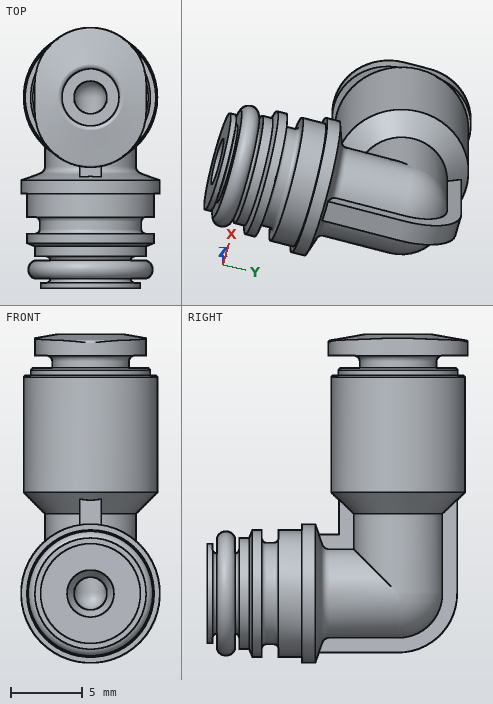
import cadquery as cq
import math


overall_length = 18.3
overall_height = 23.07
flange_diameter = 9.75

elbow_radius = 3.2
web_radius = 4.15
web_width = 1.5

body_radius = 4.7
body_shoulder_z = 7.1
body_top_z = 15.3
body_edge_chamfer = 0.12
collar_radius = 4.2
collar_top_z = 15.82
collar_chamfer = 0.15

neck_radius = 2.7
neck_fillet = 0.4
button_width = 7.8
button_length = 9.8
button_bottom_z = 16.68
button_top_z = overall_height - flange_diameter / 2
button_cone_angle = math.radians(10)
button_edge_fillet = 0.2

tube_radius = 2.0
tube_mouth_fillet = 0.3
tube_socket_floor_z = body_shoulder_z
bore_radius = 1.15
plug_bore_radius = 1.65
plug_bore_taper_angle = math.radians(30)

plug_tip = overall_length - button_length / 2
flange_radius = flange_diameter / 2
flange_cone_start = 5.2
flange_cone_angle = math.radians(70)
flange_root_fillet = 0.5
flange_end = 6.75
plug_bore_floor = flange_end
land_radius = 8.93 / 2
clip_groove_start = 8.4
clip_groove_end = 9.55
clip_groove_radius = 7.15 / 2
clip_land_end = 10.22
front_land_start = 10.45
front_land_radius = 7.8 / 2
seal_groove_start = 11.15
seal_groove_end = 13.0
seal_groove_radius = 5.65 / 2
groove_fillet = 0.3
tip_radius = 7.0 / 2

ring_outer_radius = 8.74 / 2
ring_flank_radius = 3.9
ring_half_width = 0.64
ring_center = (seal_groove_start + seal_groove_end) / 2


def revolve_tube_side(profile):
    """Revolve an (radius, z) profile drawn on XZ about the Z axis."""
    return profile.close().revolve(360, (0, 0), (0, 1))


def revolve_plug_side(profile):
    """Revolve a (distance towards -Y, radius) profile about the plug axis."""
    return profile.close().revolve(360, (0, 0), (1, 0))


def plug_plane():
    """Sketch plane with local x along -Y and local y along +Z."""
    return cq.Workplane(cq.Plane(origin=(0, 0, 0), xDir=(0, -1, 0), normal=(-1, 0, 0)))


def make_elbow():
    upright = cq.Workplane("XY").circle(elbow_radius).extrude(body_shoulder_z)
    level = cq.Workplane("XZ").circle(elbow_radius).extrude(flange_end)
    corner = cq.Workplane("XY").sphere(elbow_radius)
    return upright.union(level).union(corner)


def make_web():
    diagonal = web_radius * math.sqrt(0.5)
    return (
        plug_plane()
        .moveTo(-web_radius, body_shoulder_z)
        .lineTo(-web_radius, 0)
        .threePointArc((-diagonal, -diagonal), (0, -web_radius))
        .lineTo(flange_end, -web_radius)
        .lineTo(flange_end, web_radius)
        .lineTo(web_radius, web_radius)
        .lineTo(web_radius, body_shoulder_z)
        .close()
        .extrude(web_width / 2, both=True)
    )


def make_body():
    cone_bottom_z = body_shoulder_z - (body_radius - elbow_radius)
    return revolve_tube_side(
        cq.Workplane("XZ")
        .moveTo(0, cone_bottom_z)
        .lineTo(elbow_radius, cone_bottom_z)
        .lineTo(body_radius, body_shoulder_z)
        .lineTo(body_radius, body_top_z - body_edge_chamfer)
        .lineTo(body_radius - body_edge_chamfer, body_top_z)
        .lineTo(collar_radius, body_top_z)
        .lineTo(collar_radius, collar_top_z - collar_chamfer)
        .lineTo(collar_radius - collar_chamfer, collar_top_z)
        .lineTo(0, collar_top_z)
    )


def make_button():
    head_radius = button_length / 2
    crown_radius = tube_radius + tube_mouth_fillet
    rim_radius = head_radius - button_edge_fillet
    rim_z = button_top_z - (rim_radius - crown_radius) * math.tan(button_cone_angle)
    edge_diagonal = button_edge_fillet * math.sqrt(0.5)
    turned_head = revolve_tube_side(
        cq.Workplane("XZ")
        .moveTo(0, button_bottom_z)
        .lineTo(head_radius, button_bottom_z)
        .lineTo(head_radius, rim_z - button_edge_fillet)
        .threePointArc(
            (rim_radius + edge_diagonal, rim_z - button_edge_fillet + edge_diagonal),
            (rim_radius, rim_z),
        )
        .lineTo(crown_radius, button_top_z)
        .lineTo(0, button_top_z)
    )
    oblong = (
        cq.Workplane("XY")
        .workplane(offset=button_bottom_z)
        .slot2D(button_length, button_width, 90)
        .extrude(button_top_z - button_bottom_z)
    )
    neck = revolve_tube_side(
        cq.Workplane("XZ")
        .moveTo(0, body_top_z)
        .lineTo(neck_radius, body_top_z)
        .lineTo(neck_radius, button_bottom_z - neck_fillet)
        .radiusArc((neck_radius + neck_fillet, button_bottom_z), neck_fillet)
        .lineTo(0, button_bottom_z)
    )
    return turned_head.intersect(oblong).union(neck)


def make_plug():
    tangent_length = flange_root_fillet * math.tan(flange_cone_angle / 2)
    root_start = flange_cone_start - tangent_length
    root_end = flange_cone_start + tangent_length * math.cos(flange_cone_angle)
    root_end_radius = elbow_radius + tangent_length * math.sin(flange_cone_angle)
    flange_start = flange_cone_start + (flange_radius - elbow_radius) / math.tan(flange_cone_angle)
    seal_wall_radius = seal_groove_radius + groove_fillet
    clip_wall_radius = clip_groove_radius + groove_fillet
    return revolve_plug_side(
        plug_plane()
        .moveTo(0, 0)
        .lineTo(0, elbow_radius)
        .lineTo(root_start, elbow_radius)
        .radiusArc((root_end, root_end_radius), -flange_root_fillet)
        .lineTo(flange_start, flange_radius)
        .lineTo(flange_end, flange_radius)
        .lineTo(flange_end, land_radius)
        .lineTo(clip_groove_start, land_radius)
        .lineTo(clip_groove_start, clip_wall_radius)
        .radiusArc((clip_groove_start + groove_fillet, clip_groove_radius), -groove_fillet)
        .lineTo(clip_groove_end - groove_fillet, clip_groove_radius)
        .radiusArc((clip_groove_end, clip_wall_radius), -groove_fillet)
        .lineTo(clip_groove_end, land_radius)
        .lineTo(clip_land_end, land_radius)
        .lineTo(front_land_start, front_land_radius)
        .lineTo(seal_groove_start, front_land_radius)
        .lineTo(seal_groove_start, seal_wall_radius)
        .radiusArc((seal_groove_start + groove_fillet, seal_groove_radius), -groove_fillet)
        .lineTo(seal_groove_end - groove_fillet, seal_groove_radius)
        .radiusArc((seal_groove_end, seal_wall_radius), -groove_fillet)
        .lineTo(seal_groove_end, tip_radius)
        .lineTo(plug_tip, tip_radius)
        .lineTo(plug_tip, 0)
    )


def make_sealing_ring():
    return revolve_plug_side(
        plug_plane()
        .moveTo(ring_center - ring_half_width, 0)
        .lineTo(ring_center - ring_half_width, ring_flank_radius)
        .threePointArc(
            (ring_center, ring_outer_radius),
            (ring_center + ring_half_width, ring_flank_radius),
        )
        .lineTo(ring_center + ring_half_width, 0)
    )


def make_tube_bore():
    mouth_radius = tube_radius + tube_mouth_fillet
    return revolve_tube_side(
        cq.Workplane("XZ")
        .lineTo(bore_radius, 0)
        .lineTo(bore_radius, tube_socket_floor_z)
        .lineTo(tube_radius, tube_socket_floor_z)
        .lineTo(tube_radius, button_top_z - tube_mouth_fillet)
        .radiusArc((mouth_radius, button_top_z), tube_mouth_fillet)
        .lineTo(0, button_top_z)
    )


def make_plug_bore():
    taper_length = (plug_bore_radius - bore_radius) / math.tan(plug_bore_taper_angle)
    taper_start = plug_bore_floor - taper_length
    return revolve_plug_side(
        plug_plane()
        .lineTo(0, bore_radius)
        .lineTo(taper_start, bore_radius)
        .lineTo(plug_bore_floor, plug_bore_radius)
        .lineTo(plug_tip, plug_bore_radius)
        .lineTo(plug_tip, 0)
    )


def make_bores():
    corner = cq.Workplane("XY").sphere(bore_radius)
    return make_tube_bore().union(make_plug_bore()).union(corner)


result = (
    make_elbow()
    .union(make_web())
    .union(make_body())
    .union(make_button())
    .union(make_plug())
    .union(make_sealing_ring())
    .cut(make_bores())
)